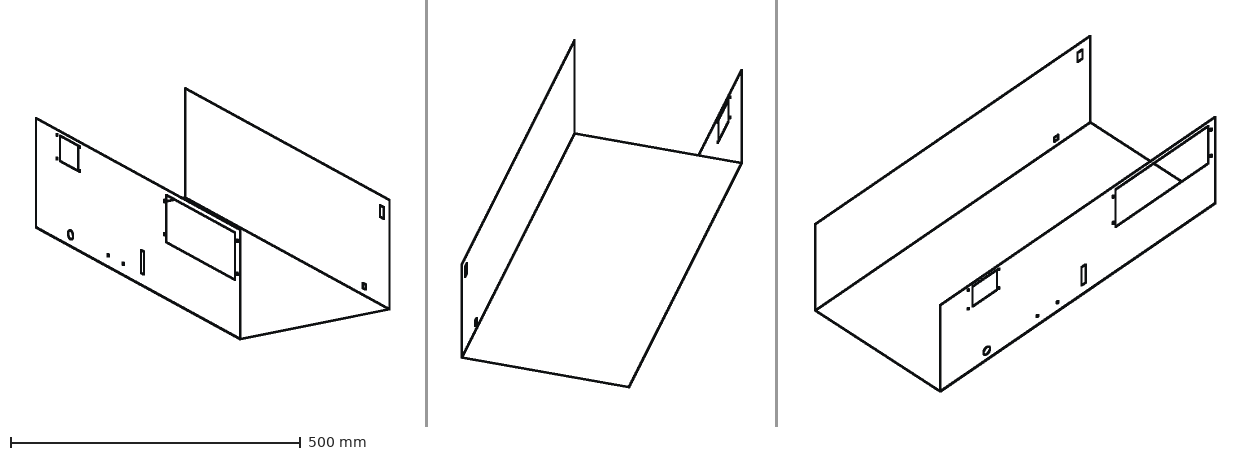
import cadquery as cq

length = 680.0
depth = 301.0
height = 200.0
sheet = 0.5

small_window = (79.5, 145.5, 140.0, 192.0)
display_window = (433.0, 103.5, 663.0, 190.0)
slot = (349.5, 22.0, 360.0, 64.0)

small_screw_diameter = 3.0
small_screw_left = 10.0
small_screw_right = 5.0
small_screw_inset = 1.5
screw_diameter = 4.5
display_screw_left = 5.0
display_screw_right = 7.0
display_screw_inset = 13.0

lower_hole_z = 21.0
cable_hole_x = 115.0
cable_hole_diameter = 16.0
lower_screw_xs = (240.0, 290.5)

switch_window = (649.0, 160.0, 661.0, 181.0)
cable_window = (591.0, 12.0, 601.0, 22.0)


def wall(front_y):
    """Upright sheet whose front face lies at front_y."""
    return cq.Workplane("XY").box(length, sheet, height, centered=False).translate((0, front_y, 0))


def cut_window(body, bounds, front_y):
    """Cut a rectangular opening through the wall at front_y."""
    left, bottom, right, top = bounds
    cutter = cq.Workplane("XY").box(right - left, sheet, top - bottom, centered=False)
    return body.cut(cutter.translate((left, front_y, bottom)))


def cut_holes(body, centers, diameter, front_y):
    """Cut round holes at the (x, z) centers through the wall at front_y."""
    cutter = cq.Workplane("XZ", origin=(0, front_y, 0)).pushPoints(centers).circle(diameter / 2).extrude(-sheet)
    return body.cut(cutter)


def screw_centers(window, left_offset, right_offset, inset):
    """Four screw centers beside the corners of a window."""
    left, bottom, right, top = window
    return [
        (x, z)
        for x in (left - left_offset, right + right_offset)
        for z in (bottom + inset, top - inset)
    ]


def make_front_wall():
    front_y = 0
    body = wall(front_y)
    for window in (small_window, display_window, slot):
        body = cut_window(body, window, front_y)
    small_screws = screw_centers(
        small_window, small_screw_left, small_screw_right, small_screw_inset
    )
    display_screws = screw_centers(
        display_window, display_screw_left, display_screw_right, display_screw_inset
    )
    lower_screws = [(x, lower_hole_z) for x in lower_screw_xs]
    body = cut_holes(body, small_screws, small_screw_diameter, front_y)
    body = cut_holes(body, display_screws + lower_screws, screw_diameter, front_y)
    return cut_holes(body, [(cable_hole_x, lower_hole_z)], cable_hole_diameter, front_y)


def make_back_wall():
    front_y = depth - sheet
    body = cut_window(wall(front_y), switch_window, front_y)
    return cut_window(body, cable_window, front_y)


def make_floor():
    """Bottom sheet fitted between the two walls."""
    floor = cq.Workplane("XY").box(length, depth - 2 * sheet, sheet, centered=False)
    return floor.translate((0, sheet, 0))


front_wall = make_front_wall()
back_wall = make_back_wall()
floor = make_floor()

result = cq.Compound.makeCompound([front_wall.val(), back_wall.val(), floor.val()])